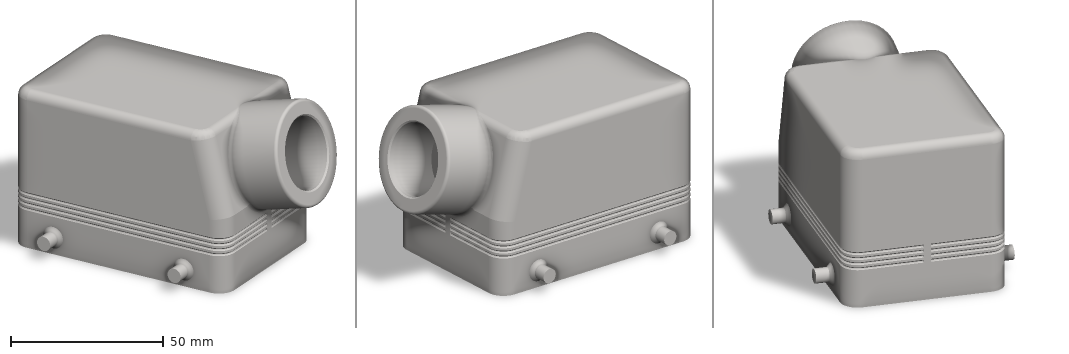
import cadquery as cq
import math

length = 81.9
width = 56.1
height = 56.0
corner_radius = 6.0
roof_radius = 3.0

slope_angle = 15.0
slope_start = 26.9

tube_diameter = 36.0
tube_length = 18.5
tube_axis_rise = 12.8
tube_rim_radius = 1.0
tube_root_radius = 1.0
bore_radius = 12.4
bore_chamfer = 0.5

groove_count = 4
groove_depth = 0.5
groove_pitch = 1.8
lowest_groove = 13.9
groove_gap = 2.5

peg_radius = 2.5
peg_span = 68.0
peg_spacing = 50.0
peg_height = 6.0
peg_root_chamfer = 1.3

slope_rad = math.radians(slope_angle)
slope_run = (height - slope_start) * math.tan(slope_rad)
end_x = length / 2
tube_radius = tube_diameter / 2

tube_plane = cq.Plane(
    origin=(
        end_x - tube_axis_rise * math.sin(slope_rad),
        0,
        slope_start + tube_axis_rise * math.cos(slope_rad),
    ),
    xDir=(0, 1, 0),
    normal=(math.cos(slope_rad), 0, math.sin(slope_rad)),
)


def make_body():
    """Solid block with a sloped end, rounded corners and a rounded roof edge."""
    side_outline = [
        (-end_x, 0),
        (end_x, 0),
        (end_x, slope_start),
        (end_x - slope_run, height),
        (-end_x, height),
    ]
    block = cq.Workplane("XZ").polyline(side_outline).close().extrude(width / 2, both=True)
    corner_edges = block.edges("not(#Z or |Y)")
    return corner_edges.fillet(corner_radius).faces(">Z").edges().fillet(roof_radius)


def on_tube_root(edge):
    """True for an edge that runs around the tube where it meets the body."""
    if edge.geomType() == "LINE":
        return False
    tolerance = 0.001
    for fraction in (0.3, 0.7):
        point = tube_plane.toLocalCoords(edge.positionAt(fraction))
        off_surface = abs(math.hypot(point.x, point.y) - tube_radius)
        if off_surface > tolerance or point.z > tube_length / 2:
            return False
    return True


def add_tube(body):
    """Round tube blended into the body, with a blind bore down to the sloped wall."""
    embedded_depth = 2 * roof_radius
    tube = (
        cq.Workplane(tube_plane)
        .workplane(offset=-embedded_depth)
        .circle(tube_radius)
        .extrude(embedded_depth + tube_length)
    )
    joined = body.union(tube)
    root_edges = [edge for edge in joined.edges().vals() if on_tube_root(edge)]
    blended = joined.newObject(root_edges).fillet(tube_root_radius)

    end_face = cq.selectors.DirectionMinMaxSelector(tube_plane.zDir)
    rounded = blended.faces(end_face).edges().fillet(tube_rim_radius)
    bore = cq.Workplane(tube_plane).circle(bore_radius).extrude(tube_length)
    bored = rounded.cut(bore)
    mouth = bored.faces(end_face).edges(cq.selectors.RadiusNthSelector(0))
    return mouth.chamfer(bore_chamfer)


def groove_cutter(center_height):
    """Diamond-section bar around the body, interrupted at the middle of both end walls."""
    footprint = (
        cq.Workplane("XY")
        .workplane(offset=center_height)
        .rect(length, width)
        .extrude(height)
        .edges("|Z")
        .fillet(corner_radius)
    )
    path = footprint.faces("<Z").wires()
    start = path.val().positionAt(0)
    profile_plane = cq.Plane(origin=start, xDir=(0, 0, 1), normal=path.val().tangentAt(0))
    bar = cq.Workplane(profile_plane).polygon(4, 2 * groove_depth).sweep(path)
    plain_strip = cq.Workplane("XY").box(2 * length, groove_gap, 2 * height)
    return bar.cut(plain_strip)


def add_pegs(body):
    """Pegs on both side walls, each widening in a cone where it meets the side wall."""
    for x in (-peg_spacing / 2, peg_spacing / 2):
        peg_pair = (
            cq.Workplane("XZ")
            .center(x, peg_height)
            .circle(peg_radius)
            .extrude(peg_span / 2, both=True)
        )
        body = body.union(peg_pair)
        for side in (-1, 1):
            wall_point = (x, side * width / 2, peg_height + peg_radius)
            root_edge = body.edges(cq.selectors.NearestToPointSelector(wall_point))
            body = root_edge.chamfer(peg_root_chamfer)
    return body


result = add_tube(make_body())
for index in range(groove_count):
    result = result.cut(groove_cutter(lowest_groove + index * groove_pitch))
result = add_pegs(result)